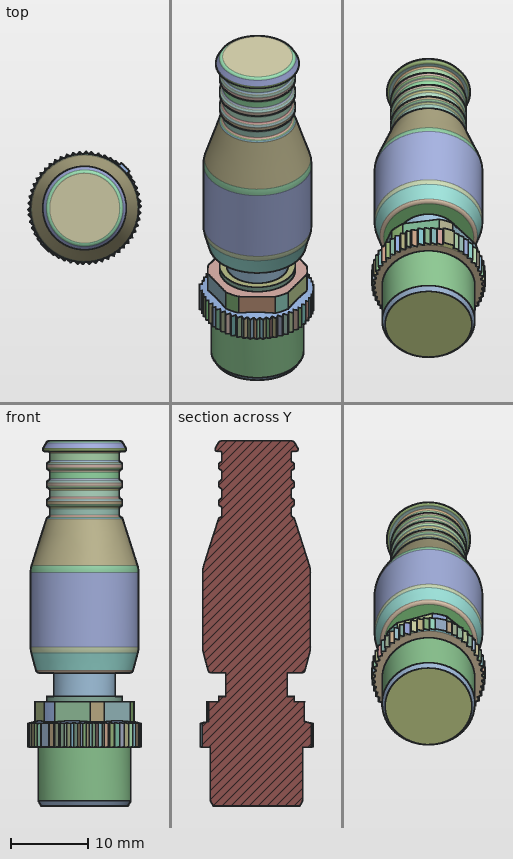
import cadquery as cq
import math

total_height = 47.2
bottom_chamfer_height = 0.7
knurl_bottom = 7.6
hex_top = 13.5
collar_top = 14.2
grip_bottom = 17.2
grip_straight_bottom = 20.2
grip_straight_top = 30.65
head_underside = 45.8

bottom_face_radius = 5.6
plug_radius = 6.0
collar_radius = 4.9
neck_radius = 4.0
grip_bottom_radius = 6.2
grip_radius = 7.0
stem_radius = 4.5
rib_radius = 4.9
head_radius = 5.4
head_flank_angle = 30.0

rib_count = 3
rib_pitch = 2.36
shoulder_center = 36.85
rib_crest_half_height = 0.39
rib_root_half_height = 0.59

grip_edge_rounding = 0.5
grip_bend_rounding = 3.0
rib_rounding = 0.3
head_root_rounding = 0.2
head_rim_rounding = 0.3
head_top_rounding = 0.5

hex_across_flats = 12.0
hex_corner_diameter = 12.9
hex_flat_angle = 15.0

tooth_tip_radius = 7.3
radial_pitch_angle = 360 / 54
radial_teeth_per_side = 7
steps_per_side = 6
step_pitch = 0.75
step_axis_angle = 45.0
marker_face_distance = 7.5
marker_width = 2 * step_pitch
ring_cone_angle = 15.0
ring_top_at_hex = 11.03
ring_bottom_cone_radius = 7.0


def rounded_revolve(corners):
    """Revolve a closed (radius, z, rounding) outline round Z, rounding each corner by a tangent arc."""
    outline = None
    for index, (r, z, rounding) in enumerate(corners):
        corner = cq.Vector(r, z, 0)
        before = cq.Vector(*corners[index - 1][:2], 0)
        after = cq.Vector(*corners[(index + 1) % len(corners)][:2], 0)
        to_before = (before - corner).normalized()
        to_after = (after - corner).normalized()
        half_angle = to_before.getAngle(to_after) / 2
        setback = rounding / math.tan(half_angle)
        start = corner + to_before * setback
        if outline is None:
            outline = cq.Workplane("XZ").moveTo(start.x, start.y)
        else:
            outline = outline.lineTo(start.x, start.y)
        if rounding > 0:
            end = corner + to_after * setback
            crown_distance = rounding / math.sin(half_angle) - rounding
            middle = corner + (to_before + to_after).normalized() * crown_distance
            outline = outline.threePointArc((middle.x, middle.y), (end.x, end.y))
    return outline.close().revolve(360, (0, 0, 0), (0, 1, 0))


def rib_corners(center):
    """Corners of one stem rib, from its lower root to its upper root."""
    return [
        (stem_radius, center - rib_root_half_height, rib_rounding),
        (rib_radius, center - rib_crest_half_height, rib_rounding),
        (rib_radius, center + rib_crest_half_height, rib_rounding),
        (stem_radius, center + rib_root_half_height, rib_rounding),
    ]


def turned_body():
    """Plug, collar, neck, grip, ribbed stem and head as one revolved outline."""
    rim_half_angle = math.radians(90 - head_flank_angle) / 2
    rim_corner_radius = head_radius + head_rim_rounding * (1 / math.tan(rim_half_angle) - 1)
    flank_run = (total_height - head_underside) * math.tan(math.radians(head_flank_angle))
    corners = [
        (0, 0, 0),
        (bottom_face_radius, 0, 0),
        (plug_radius, bottom_chamfer_height, 0),
        (plug_radius, knurl_bottom, 0),
        (collar_radius, knurl_bottom, 0),
        (collar_radius, collar_top, 0),
        (neck_radius, collar_top, 0),
        (neck_radius, grip_bottom, 0),
        (grip_bottom_radius, grip_bottom, grip_edge_rounding),
        (grip_radius, grip_straight_bottom, grip_bend_rounding),
        (grip_radius, grip_straight_top, grip_bend_rounding),
        (rib_radius, shoulder_center + rib_crest_half_height, rib_rounding),
        (stem_radius, shoulder_center + rib_root_half_height, rib_rounding),
    ]
    for number in range(1, rib_count + 1):
        corners += rib_corners(shoulder_center + number * rib_pitch)
    corners += [
        (stem_radius, head_underside, head_root_rounding),
        (rim_corner_radius, head_underside, head_rim_rounding),
        (rim_corner_radius - flank_run, total_height, head_top_rounding),
        (0, total_height, 0),
    ]
    return rounded_revolve(corners)


def hexagon():
    """Hexagon whose corners are turned round."""
    corner_boss = cq.Workplane("XY").workplane(offset=knurl_bottom).circle(hex_corner_diameter / 2)
    corner_boss = corner_boss.extrude(hex_top - knurl_bottom)
    flat_half_angle = 180 / 6
    sharp_diameter = hex_across_flats / math.cos(math.radians(flat_half_angle))
    prism = cq.Workplane("XY").workplane(offset=knurl_bottom).polygon(6, sharp_diameter)
    prism = prism.extrude(hex_top - knurl_bottom)
    prism = prism.rotate((0, 0, 0), (0, 0, 1), hex_flat_angle + flat_half_angle)
    return corner_boss.intersect(prism)


def polar_point(radius, angle):
    """X and Y of a point at the given radius and angle in degrees."""
    return (radius * math.cos(math.radians(angle)), radius * math.sin(math.radians(angle)))


def radial_quarter(axis_angle):
    """Tips and valleys of the 90 degree radial teeth centred on axis_angle, counterclockwise."""
    half_step = radial_pitch_angle / 2
    half_step_radians = math.radians(half_step)
    valley_radius = tooth_tip_radius * (math.cos(half_step_radians) - math.sin(half_step_radians))
    points = []
    for step in range(-2 * radial_teeth_per_side, 2 * radial_teeth_per_side + 1):
        radius = tooth_tip_radius if step % 2 == 0 else valley_radius
        points.append(polar_point(radius, axis_angle + step * half_step))
    return points


def stepped_quarter(axis_angle):
    """Square steps that fall away on both sides of axis_angle and meet the radial teeth."""
    tips = []
    for step in range(1, steps_per_side + 1):
        across = step * step_pitch
        tips.append((math.sqrt(tooth_tip_radius**2 - across**2), across))
    tips.append(polar_point(tooth_tip_radius, 90 - radial_teeth_per_side * radial_pitch_angle))

    upper_side = []
    for tip, next_tip in zip(tips, tips[1:]):
        step_root = (next_tip[0], tip[1])
        upper_side += [tip, step_root]
    lower_side = [(along, -across) for along, across in reversed(upper_side)]

    cos_axis, sin_axis = polar_point(1, axis_angle)
    return [
        (along * cos_axis - across * sin_axis, along * sin_axis + across * cos_axis)
        for along, across in lower_side + upper_side
    ]


def ring_blank():
    """Ring with a conical top and a coned lower edge that trims the tooth ends."""
    slope = math.tan(math.radians(ring_cone_angle))
    blank_radius = marker_face_distance + marker_width
    hex_radius = hex_across_flats / 2
    outline = [
        (0, knurl_bottom),
        (ring_bottom_cone_radius, knurl_bottom),
        (blank_radius, knurl_bottom + (blank_radius - ring_bottom_cone_radius) * slope),
        (blank_radius, ring_top_at_hex - (blank_radius - hex_radius) * slope),
        (0, ring_top_at_hex + hex_radius * slope),
    ]
    return cq.Workplane("XZ").polyline(outline).close().revolve(360, (0, 0, 0), (0, 1, 0))


def knurled_ring():
    """Ring with two quarters of radial teeth, two of stepped teeth, and a marker block."""
    outline = []
    for axis_angle in (step_axis_angle, step_axis_angle + 180):
        outline += stepped_quarter(axis_angle)
        outline += radial_quarter(axis_angle + 90)
    ring_height = hex_top - knurl_bottom
    teeth = cq.Workplane("XY").workplane(offset=knurl_bottom).polyline(outline).close().extrude(ring_height)
    marker = cq.Workplane("XY").workplane(offset=knurl_bottom)
    marker = marker.rect(marker_face_distance, marker_width).extrude(ring_height)
    marker = marker.translate((marker_face_distance / 2, 0, 0))
    marker = marker.rotate((0, 0, 0), (0, 0, 1), step_axis_angle)
    return teeth.union(marker).intersect(ring_blank())


result = turned_body().union(hexagon()).union(knurled_ring())